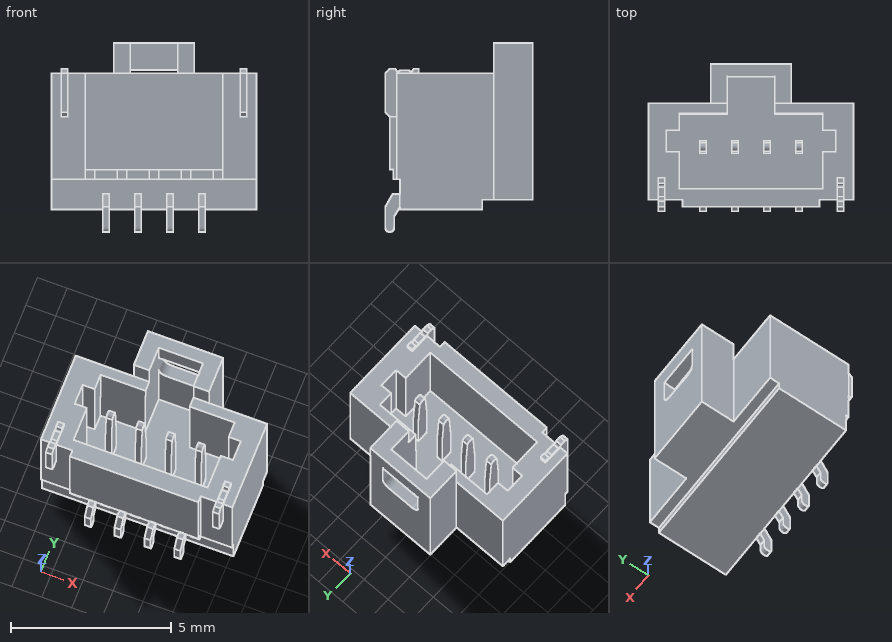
import cadquery as cq


BOX_WIDTH = 6.4
BOX_DEPTH = 3.02
BOX_HEIGHT = 4.255
BASE_HEIGHT = 0.94
BASE_SETBACK = 0.095
STEP_HEIGHT = 0.31
STEP_Y = 2.675

LATCH_WIDTH = 2.515
LATCH_REAR_Y = 4.24
LATCH_TOP = 5.2
CHANNEL_WIDTH = 1.48
LATCH_WALL = 0.4
WINDOW_TOP = 4.35
WINDOW_BOTTOM = 3.06
WINDOW_CORNER = 0.3

POCKET_WIDTH = 4.48
POCKET_FRONT_Y = 0.345
POCKET_REAR_Y = 2.695
POCKET_REAR_DRAFT = 0.02
POCKET_FLOOR = BASE_HEIGHT
KEY_WIDTH = 5.285
KEY_FRONT_Y = 1.5
KEY_REAR_Y = 2.175

PAD_WIDTH = 4.29
PAD_THICKNESS = 0.22
PAD_BOTTOM = 1.25
RIB_PROUD = 0.115
RIB_WIDTH = 0.295
RIB_COUNT = 5

PIN_COUNT = 4
PIN_PITCH = 1.0
PIN_WIDTH = 0.205
PIN_FRONT_Y = 1.445
PIN_DEPTH = 0.4
PIN_TAPER = 0.07
PIN_TAPER_START = 2.56
PIN_TIP_EDGE = 3.96
PIN_TIP = 4.06
TAIL_FRONT_Y = -0.36
TAIL_THICKNESS = 0.28
TAIL_TOP = 0.49
TAIL_TOP_BEND_Y = -0.13
TAIL_OUTER_BEND_Z = 0.09
TAIL_INNER_BEND_Z = -0.21
TAIL_ROOT_Z = 0.065
TAIL_BOTTOM = -0.705

TAB_COUNT = 2
TAB_SPACING = 5.58
TAB_WIDTH = PIN_WIDTH
TAB_REAR_Y = 0.69
TAB_THICKNESS = 0.14
TAB_FRONT_Y = TAIL_FRONT_Y
TAB_CHAMFER = TAB_THICKNESS
TAB_BOTTOM = 2.89
STRIP_THICKNESS = 0.095
GROOVE_FLOOR = 0.045
GROOVE_SLOPE_FOOT = 0.08
GROOVE_SLOPE_RUN = 0.03
GROOVE_WIDTH = 0.095
REAR_GROOVE_Y = 0.4
FRONT_GROOVE_Y = 0.09


def block(width, y_range, z_range):
    """Box centred on X = 0 between two Y and two Z positions."""
    y_low, y_high = y_range
    z_low, z_high = z_range
    size = (width, y_high - y_low, z_high - z_low)
    return cq.Workplane("XY").box(*size, centered=(True, False, False)).translate((0, y_low, z_low))


def centred_row(count, spacing):
    """X positions of evenly spaced items about X = 0."""
    return [(i - (count - 1) / 2) * spacing for i in range(count)]


def along_x(outline, width):
    """Extrude a closed (Y, Z) outline symmetrically along X."""
    return outline.close().extrude(width / 2, both=True)


def make_shell():
    """Box on its base, stepped up underneath at the rear, plus the latch tower."""
    profile = (
        cq.Workplane("YZ")
        .moveTo(BASE_SETBACK, 0)
        .lineTo(STEP_Y, 0)
        .lineTo(STEP_Y, STEP_HEIGHT)
        .lineTo(BOX_DEPTH, STEP_HEIGHT)
        .lineTo(BOX_DEPTH, BOX_HEIGHT)
        .lineTo(0, BOX_HEIGHT)
        .lineTo(0, BASE_HEIGHT)
        .lineTo(BASE_SETBACK, BASE_HEIGHT)
    )
    tower = block(LATCH_WIDTH, (BOX_DEPTH, LATCH_REAR_Y), (STEP_HEIGHT, LATCH_TOP))
    return along_x(profile, BOX_WIDTH).union(tower)


def make_pocket():
    """Pocket with a drafted rear wall, key slots at both ends and the latch channel."""
    profile = (
        cq.Workplane("YZ")
        .moveTo(POCKET_FRONT_Y, POCKET_FLOOR)
        .lineTo(POCKET_REAR_Y - POCKET_REAR_DRAFT, POCKET_FLOOR)
        .lineTo(POCKET_REAR_Y, BOX_HEIGHT)
        .lineTo(POCKET_FRONT_Y, BOX_HEIGHT)
    )
    keys = block(KEY_WIDTH, (KEY_FRONT_Y, KEY_REAR_Y), (POCKET_FLOOR, BOX_HEIGHT))
    channel_rear_y = LATCH_REAR_Y - LATCH_WALL
    channel = block(CHANNEL_WIDTH, (KEY_REAR_Y, channel_rear_y), (POCKET_FLOOR, LATCH_TOP))
    return along_x(profile, POCKET_WIDTH).union(keys).union(channel)


def make_window():
    """Opening through the rear wall of the latch, rounded at its lower corners."""
    wall_range = (LATCH_REAR_Y - LATCH_WALL, LATCH_REAR_Y)
    window = block(CHANNEL_WIDTH, wall_range, (WINDOW_BOTTOM, WINDOW_TOP))
    return window.edges("|Y and <Z").fillet(WINDOW_CORNER)


def make_front_pad():
    """Raised pad on the front wall and the row of shallower ribs under it."""
    pad = block(PAD_WIDTH, (-PAD_THICKNESS, 0), (PAD_BOTTOM, BOX_HEIGHT))
    rib = block(RIB_WIDTH, (-RIB_PROUD, 0), (BASE_HEIGHT, PAD_BOTTOM))
    rib_spacing = (PAD_WIDTH - RIB_WIDTH) / (RIB_COUNT - 1)
    for x in centred_row(RIB_COUNT, rib_spacing):
        pad = pad.union(rib.translate((x, 0, 0)))
    return pad


def make_pin_post():
    """Contact post standing on the pocket floor, tapered to a domed tip."""
    rear_y = PIN_FRONT_Y + PIN_DEPTH
    outline = (
        cq.Workplane("YZ")
        .moveTo(PIN_FRONT_Y, POCKET_FLOOR)
        .lineTo(rear_y, POCKET_FLOOR)
        .lineTo(rear_y, PIN_TAPER_START)
        .lineTo(rear_y - PIN_TAPER, PIN_TIP_EDGE)
        .threePointArc((PIN_FRONT_Y + PIN_DEPTH / 2, PIN_TIP), (PIN_FRONT_Y + PIN_TAPER, PIN_TIP_EDGE))
        .lineTo(PIN_FRONT_Y, PIN_TAPER_START)
    )
    return along_x(outline, PIN_WIDTH)


def make_pin_tail():
    """Solder tail leaving the front of the base, bent down to a fully rounded end."""
    end_radius = TAIL_THICKNESS / 2
    inner_y = TAIL_FRONT_Y + TAIL_THICKNESS
    end_z = TAIL_BOTTOM + end_radius
    outline = (
        cq.Workplane("YZ")
        .moveTo(BASE_SETBACK, TAIL_TOP)
        .lineTo(TAIL_TOP_BEND_Y, TAIL_TOP)
        .lineTo(TAIL_FRONT_Y, TAIL_OUTER_BEND_Z)
        .lineTo(TAIL_FRONT_Y, end_z)
        .threePointArc((TAIL_FRONT_Y + end_radius, TAIL_BOTTOM), (inner_y, end_z))
        .lineTo(inner_y, TAIL_INNER_BEND_Z)
        .lineTo(BASE_SETBACK, TAIL_ROOT_Z)
    )
    return along_x(outline, PIN_WIDTH)


def make_housing():
    """Housing and its pins as one solid."""
    housing = make_shell().cut(make_pocket()).cut(make_window()).union(make_front_pad())
    post = make_pin_post()
    tail = make_pin_tail()
    for x in centred_row(PIN_COUNT, PIN_PITCH):
        housing = housing.union(post.translate((x, 0, 0))).union(tail.translate((x, 0, 0)))
    return housing


def make_tab():
    """Solder tab lying on the top of the box and bent down over its front wall.

    Its top leg is a thin strip between two grooves. Each groove is an arc that starts at the
    strip and ends in a straight slope up to the full thickness.
    """
    top_z = BOX_HEIGHT + TAB_THICKNESS
    strip_z = BOX_HEIGHT + STRIP_THICKNESS
    floor_z = BOX_HEIGHT + GROOVE_FLOOR
    foot_z = BOX_HEIGHT + GROOVE_SLOPE_FOOT
    rear_foot_y = REAR_GROOVE_Y + GROOVE_WIDTH
    front_foot_y = FRONT_GROOVE_Y - GROOVE_WIDTH
    outline = (
        cq.Workplane("YZ")
        .moveTo(TAB_REAR_Y, BOX_HEIGHT)
        .lineTo(TAB_REAR_Y, top_z)
        .lineTo(rear_foot_y + GROOVE_SLOPE_RUN, top_z)
        .lineTo(rear_foot_y, foot_z)
        .threePointArc((REAR_GROOVE_Y + GROOVE_WIDTH / 2, floor_z), (REAR_GROOVE_Y, strip_z))
        .lineTo(FRONT_GROOVE_Y, strip_z)
        .threePointArc((FRONT_GROOVE_Y - GROOVE_WIDTH / 2, floor_z), (front_foot_y, foot_z))
        .lineTo(front_foot_y - GROOVE_SLOPE_RUN, top_z)
        .lineTo(TAB_FRONT_Y + TAB_CHAMFER, top_z)
        .lineTo(TAB_FRONT_Y, top_z - TAB_CHAMFER)
        .lineTo(TAB_FRONT_Y, TAB_BOTTOM + TAB_CHAMFER)
        .lineTo(TAB_FRONT_Y + TAB_CHAMFER, TAB_BOTTOM)
        .lineTo(0, TAB_BOTTOM)
        .lineTo(0, BOX_HEIGHT)
    )
    return along_x(outline, TAB_WIDTH)


housing = make_housing()
tabs = [make_tab().translate((x, 0, 0)) for x in centred_row(TAB_COUNT, TAB_SPACING)]

result = cq.Compound.makeCompound([housing.val(), *[tab.val() for tab in tabs]])